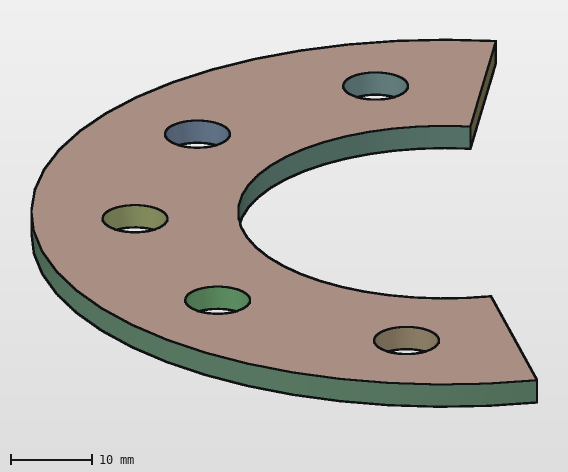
import cadquery as cq
import math

overall_length = 100.8
thickness = 3.0
hole_diameter = 8.0
hole_count = 5

start_angle = 150.0
end_angle = 350.0
sector_angle = end_angle - start_angle
hole_pitch = sector_angle / hole_count
first_hole_angle = start_angle + hole_pitch / 2

outer_radius = overall_length / (1 + math.cos(math.radians(end_angle)))
inner_radius = outer_radius / 2
hole_circle_radius = (inner_radius + outer_radius) / 2


def polar(radius, angle):
    """Point at a radius and an angle in degrees about the ring axis."""
    return (radius * math.cos(math.radians(angle)), radius * math.sin(math.radians(angle)))


def ring_sector():
    middle_angle = (start_angle + end_angle) / 2
    return (
        cq.Workplane("XY")
        .moveTo(*polar(outer_radius, start_angle))
        .threePointArc(polar(outer_radius, middle_angle), polar(outer_radius, end_angle))
        .lineTo(*polar(inner_radius, end_angle))
        .threePointArc(polar(inner_radius, middle_angle), polar(inner_radius, start_angle))
        .close()
        .extrude(thickness)
    )


def holes():
    centers = [polar(hole_circle_radius, first_hole_angle + i * hole_pitch) for i in range(hole_count)]
    return cq.Workplane("XY").pushPoints(centers).circle(hole_diameter / 2).extrude(thickness)


result = ring_sector().cut(holes())